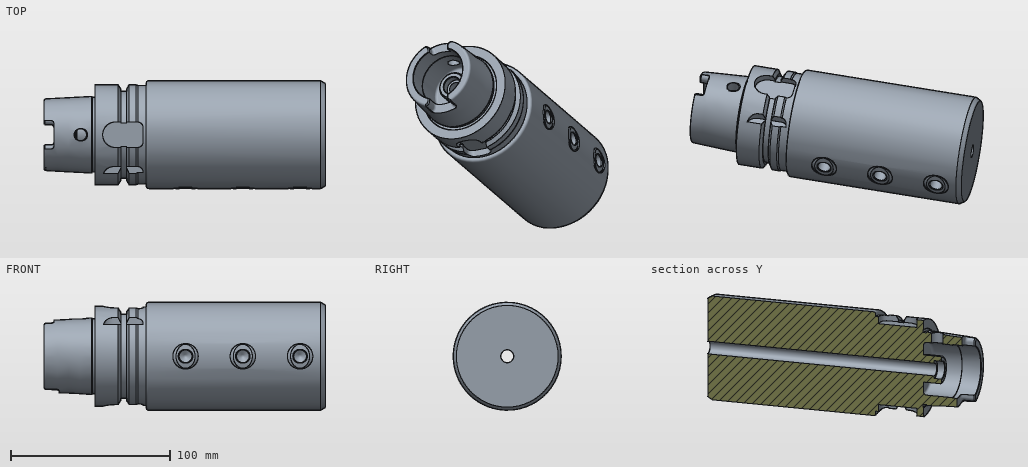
import cadquery as cq
import math


SHANK_LENGTH = 32.0
BODY_START = 32.3
BODY_END = 145.0

NOSE_RADIUS = 22.65
TAPER_BASE_RADIUS = 24.15
TAPER_END = -2.0
TAPER_EDGE_CHAMFER = 0.4
NOSE_FILLET = 1.4
UNDERCUT_RADIUS = 23.6
FACE_GROOVE_RADIUS = 25.5
FACE_GROOVE_DEPTH = 0.3

FLANGE_RADIUS = 63.0 / 2
GROOVE_RADIUS = 27.5
GROOVE_START = 16.3
GROOVE_WIDTH = 3.6
GROOVE_FLANK_FOOT_RADIUS = 28.9
GROOVE_FLANK_LENGTH = 1.7
FLANGE_END = 26.0
COLLAR_RADIUS = 62.0 / 2
COLLAR_START = 27.0

BODY_RADIUS = 68.0 / 2
BODY_FILLET = 1.5
BODY_END_CHAMFER_LENGTH = 2.6
BODY_END_CHAMFER_ANGLE = 30.0
BODY_END_EDGE_BREAK = 0.5

MOUTH_RADIUS = 34.5 / 2
MOUTH_CHAMFER = 0.3
MOUTH_DEPTH = 12.8
SOCKET_RADIUS = 34.0 / 2
SOCKET_DEPTH = 32.0
SOCKET_FLOOR_FILLET = 1.5

TUBE_RADIUS = 18.0 / 2
TUBE_TIP_RADIUS = 16.4 / 2
TUBE_TIP_CHAMFER_LENGTH = 1.0
TUBE_TIP_DEPTH = 19.9
PILOT_CHAMFER_RADIUS = 12.0 / 2
PILOT_RADIUS = 11.3 / 2
PILOT_DEPTH = 5.0
COOLANT_RADIUS = 8.0 / 2

DRIVE_SLOT_WIDTH = 12.5
DRIVE_SLOT_FLARE_RADIUS = 2.6
DRIVE_SLOT_TOP_DEPTH = 6.2
DRIVE_SLOT_BOTTOM_DEPTH = 9.5
DRIVE_SLOT_FLOOR_FILLET = 1.6
DRIVE_SLOT_MOUTH_CHAMFER = 0.8

ACCESS_X = -9.0
ACCESS_DIAMETER = 7.5
ACCESS_CHAMFER = 0.5

KEYWAY_START = 4.9
KEYWAY_END = 30.3
KEYWAY_WIDTH = 16.0
FULL_RADIUS_RELIEF = 0.01
KEYWAY_CORNER_RADIUS = 3.5
KEYWAY_FLOOR = 26.5
NOTCH_OFFSET = 20.0
NOTCH_WIDTH = 14.0

SCREW_X = 57.0
SCREW_PITCH = 36.0
SCREW_COUNT = 3
SCREW_RADIUS = 16.0 / 2
SCREW_TIP_RADIUS = 12.0 / 2
SCREW_CHAMFER_DEPTH = 1.1
KEY_HOLE_RADIUS = 8.0 / 2
KEY_CHAMFER_RADIUS = 9.24 / 2
KEY_HOLE_DEPTH = 10.0
KEY_POINT_ANGLE = 118.0


def turned_blank():
    """Outer shape from the nose to the body end, without any bore."""
    groove_end = GROOVE_START + GROOVE_WIDTH
    chamfer_end = BODY_END - BODY_END_EDGE_BREAK
    chamfer_depth = BODY_END_CHAMFER_LENGTH * math.tan(math.radians(BODY_END_CHAMFER_ANGLE))
    chamfer_end_radius = BODY_RADIUS - chamfer_depth
    outline = (
        cq.Workplane("XY")
        .moveTo(-SHANK_LENGTH, 0)
        .lineTo(-SHANK_LENGTH, NOSE_RADIUS - NOSE_FILLET)
        .radiusArc((-SHANK_LENGTH + NOSE_FILLET, NOSE_RADIUS), NOSE_FILLET)
        .lineTo(TAPER_END, TAPER_BASE_RADIUS)
        .lineTo(TAPER_END + TAPER_EDGE_CHAMFER, UNDERCUT_RADIUS)
        .lineTo(FACE_GROOVE_DEPTH, UNDERCUT_RADIUS)
        .lineTo(FACE_GROOVE_DEPTH, FACE_GROOVE_RADIUS - FACE_GROOVE_DEPTH)
        .lineTo(0, FACE_GROOVE_RADIUS)
        .lineTo(0, FLANGE_RADIUS)
        .lineTo(GROOVE_START - GROOVE_FLANK_LENGTH, FLANGE_RADIUS)
        .lineTo(GROOVE_START, GROOVE_FLANK_FOOT_RADIUS)
        .lineTo(GROOVE_START, GROOVE_RADIUS)
        .lineTo(groove_end, GROOVE_RADIUS)
        .lineTo(groove_end, GROOVE_FLANK_FOOT_RADIUS)
        .lineTo(groove_end + GROOVE_FLANK_LENGTH, FLANGE_RADIUS)
        .lineTo(FLANGE_END, FLANGE_RADIUS)
        .lineTo(COLLAR_START, COLLAR_RADIUS)
        .lineTo(BODY_START, COLLAR_RADIUS)
        .lineTo(BODY_START, BODY_RADIUS - BODY_FILLET)
        .radiusArc((BODY_START + BODY_FILLET, BODY_RADIUS), BODY_FILLET)
        .lineTo(chamfer_end - BODY_END_CHAMFER_LENGTH, BODY_RADIUS)
        .lineTo(chamfer_end, chamfer_end_radius)
        .lineTo(BODY_END, chamfer_end_radius - BODY_END_EDGE_BREAK)
        .lineTo(BODY_END, 0)
        .close()
    )
    return outline.revolve(360, (0, 0, 0), (1, 0, 0))


def axial_bore():
    """Socket cavity around the coolant tube, joined to the coolant hole through the body."""
    nose = -SHANK_LENGTH
    floor = nose + SOCKET_DEPTH
    tube_tip = nose + TUBE_TIP_DEPTH
    pilot_end = tube_tip + PILOT_DEPTH
    outline = (
        cq.Workplane("XY")
        .moveTo(nose, 0)
        .lineTo(nose, MOUTH_RADIUS + MOUTH_CHAMFER)
        .lineTo(nose + MOUTH_CHAMFER, MOUTH_RADIUS)
        .lineTo(nose + MOUTH_DEPTH, MOUTH_RADIUS)
        .lineTo(nose + MOUTH_DEPTH, SOCKET_RADIUS)
        .lineTo(floor - SOCKET_FLOOR_FILLET, SOCKET_RADIUS)
        .radiusArc((floor, SOCKET_RADIUS - SOCKET_FLOOR_FILLET), SOCKET_FLOOR_FILLET)
        .lineTo(floor, TUBE_RADIUS)
        .lineTo(tube_tip + TUBE_TIP_CHAMFER_LENGTH, TUBE_RADIUS)
        .lineTo(tube_tip, TUBE_TIP_RADIUS)
        .lineTo(tube_tip, PILOT_CHAMFER_RADIUS)
        .lineTo(tube_tip + PILOT_CHAMFER_RADIUS - PILOT_RADIUS, PILOT_RADIUS)
        .lineTo(pilot_end, PILOT_RADIUS)
        .lineTo(pilot_end, COOLANT_RADIUS)
        .lineTo(BODY_END, COOLANT_RADIUS)
        .lineTo(BODY_END, 0)
        .close()
    )
    return outline.revolve(360, (0, 0, 0), (1, 0, 0))


def drive_slot_profile(x, widening):
    """Slot across the upper shank wall whose sides flare tangentially into the shank surface."""
    half_width = DRIVE_SLOT_WIDTH / 2 + widening
    flare = DRIVE_SLOT_FLARE_RADIUS - widening
    center_y = half_width + flare
    center_z = math.sqrt((NOSE_RADIUS - DRIVE_SLOT_FLARE_RADIUS) ** 2 - center_y**2)
    flare_top = center_z + flare
    return (
        cq.Workplane("YZ", origin=(x, 0, 0))
        .moveTo(-half_width, 0)
        .lineTo(-half_width, center_z)
        .radiusArc((-center_y, flare_top), -flare)
        .lineTo(-center_y, BODY_RADIUS)
        .lineTo(center_y, BODY_RADIUS)
        .lineTo(center_y, flare_top)
        .radiusArc((half_width, center_z), -flare)
        .lineTo(half_width, 0)
        .close()
    )


def drive_slot(depth):
    """Slot cutter with rounded floor corners and a chamfered mouth at the nose face."""
    nose = -SHANK_LENGTH
    slot = drive_slot_profile(nose, 0).extrude(depth)
    floor_sides = cq.selectors.BoxSelector(
        (nose + depth / 2, -BODY_RADIUS, TUBE_RADIUS / 2),
        (nose + depth * 2, BODY_RADIUS, FLANGE_RADIUS),
    )
    slot = slot.faces(">X").edges(floor_sides).fillet(DRIVE_SLOT_FLOOR_FILLET)
    mouth_edge = drive_slot_profile(nose, DRIVE_SLOT_MOUTH_CHAMFER).val()
    mouth_end = drive_slot_profile(nose + DRIVE_SLOT_MOUTH_CHAMFER, 0).val()
    mouth = cq.Solid.makeLoft([mouth_edge, mouth_end], True)
    return slot.union(cq.Workplane(mouth))


def access_hole():
    """Radial hole through the upper shank wall, broken at the taper surface."""
    taper_rate = (TAPER_BASE_RADIUS - NOSE_RADIUS) / (SHANK_LENGTH + TAPER_END - NOSE_FILLET)
    surface = NOSE_RADIUS + taper_rate * (ACCESS_X + SHANK_LENGTH - NOSE_FILLET)
    radius = ACCESS_DIAMETER / 2
    inner_end = (TUBE_RADIUS + SOCKET_RADIUS) / 2
    outline = (
        cq.Workplane("XZ", origin=(ACCESS_X, 0, 0))
        .moveTo(0, inner_end)
        .lineTo(radius, inner_end)
        .lineTo(radius, surface - ACCESS_CHAMFER)
        .lineTo(radius + 2 * ACCESS_CHAMFER, surface + ACCESS_CHAMFER)
        .lineTo(0, surface + ACCESS_CHAMFER)
        .close()
    )
    return outline.revolve(360, (0, 0, 0), (0, 1, 0))


def milled_slot(center_y, floor_z, width):
    """Upright slot open at the top, with a full radius at -X and small corner radii at +X."""
    length = KEYWAY_END - KEYWAY_START
    slot = (
        cq.Workplane("XY", origin=((KEYWAY_START + KEYWAY_END) / 2, center_y, floor_z))
        .rect(length, width)
        .extrude(BODY_RADIUS - floor_z)
    )
    slot = slot.edges("|Z and >X").fillet(KEYWAY_CORNER_RADIUS)
    full_radius = width / 2 - FULL_RADIUS_RELIEF
    return slot.edges("|Z and <X").fillet(full_radius)


def flange_cuts():
    top_keyway = milled_slot(0, KEYWAY_FLOOR, KEYWAY_WIDTH)
    bottom_keyway = top_keyway.mirror("XY")
    notch = milled_slot(-NOTCH_OFFSET - NOTCH_WIDTH / 2, NOTCH_OFFSET, NOTCH_WIDTH)
    return top_keyway.union(bottom_keyway).union(notch)


def screw_recess(x):
    """Ring groove around the chamfered screw end, and its key hole with a drilled point."""
    axis_start = (0, 0, 0)
    axis_end = (0, 1, 0)
    surface = BODY_RADIUS
    taper = (SCREW_RADIUS - SCREW_TIP_RADIUS) / SCREW_CHAMFER_DEPTH
    clearance = SCREW_CHAMFER_DEPTH
    groove = (
        cq.Workplane("XY", origin=(x, 0, 0))
        .moveTo(SCREW_RADIUS, -surface + SCREW_CHAMFER_DEPTH)
        .lineTo(SCREW_RADIUS, -surface - clearance)
        .lineTo(SCREW_TIP_RADIUS - taper * clearance, -surface - clearance)
        .close()
        .revolve(360, axis_start, axis_end)
    )
    chamfer = KEY_CHAMFER_RADIUS - KEY_HOLE_RADIUS
    hole_end = -surface + KEY_HOLE_DEPTH
    point_length = KEY_HOLE_RADIUS / math.tan(math.radians(KEY_POINT_ANGLE / 2))
    key_hole = (
        cq.Workplane("XY", origin=(x, 0, 0))
        .moveTo(0, -surface - chamfer)
        .lineTo(KEY_CHAMFER_RADIUS + chamfer, -surface - chamfer)
        .lineTo(KEY_HOLE_RADIUS, -surface + chamfer)
        .lineTo(KEY_HOLE_RADIUS, hole_end)
        .lineTo(0, hole_end + point_length)
        .close()
        .revolve(360, axis_start, axis_end)
    )
    return groove.union(key_hole)


result = turned_blank().cut(axial_bore())
result = result.cut(drive_slot(DRIVE_SLOT_TOP_DEPTH))
result = result.cut(drive_slot(DRIVE_SLOT_BOTTOM_DEPTH).mirror("XY"))
result = result.cut(access_hole())
result = result.cut(flange_cuts())
for index in range(SCREW_COUNT):
    result = result.cut(screw_recess(SCREW_X + index * SCREW_PITCH))